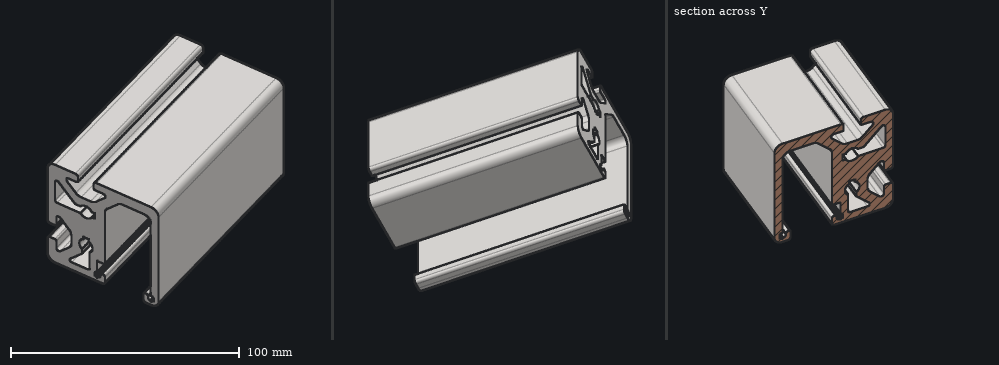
import cadquery as cq
import math


width = 58.0
height = 58.0
length = 100.0
outer_radius = 4.0
past_surface = 2.0

slot_offset_top = 20.0
slot_offset_left = 18.0
slot_mouth = 8.1
slot_lip = 4.6
slot_depth = 12.4
slot_floor = 8.2
mouth_outer_radius = 1.5
mouth_inner_radius = 0.8
slot_tip_radius = 1.2
slot_floor_radius = 4.0

core_x = slot_offset_top
upper_core_z = 38.0
lower_core_z = slot_offset_left
core_diameter = 6.9
neck_width = 4.0
key_width = 3.0
key_reach = 4.65
diagonal_web = 5.0
upper_pocket_wall = 4.0
lower_pocket_wall = 4.6
pocket_radius = 1.0

chamber_left = 30.0
chamber_right = 53.8
chamber_roof = 52.0
chamber_chamfer = 7.7
chamber_chamfer_radius = 3.0
chamber_roof_radius = 3.5
opening_right = 50.0
step_left = 25.9
step_height = 12.0

lip_foot_radius = 1.5
lip_bead_radius = 1.2
lip_bead_z = 4.4
channel_radius = 1.5
channel_z = 4.0
channel_offset = 13.9
notch_half_width = 0.5
notch_depth = 0.5
notch_tilts = (7.0, 50.0)


def prism(corners):
    """Full-length prism; each corner is (x, z) or (x, z, radius)."""
    points = [cq.Vector(corner[0], corner[1]) for corner in corners]
    radii = [corner[2] if len(corner) > 2 else 0 for corner in corners]
    outline = None
    for i, corner in enumerate(points):
        to_previous = (points[i - 1] - corner).normalized()
        to_next = (points[(i + 1) % len(points)] - corner).normalized()
        half_angle = to_previous.getAngle(to_next) / 2
        setback = radii[i] / math.tan(half_angle)
        arc_start = (corner + to_previous * setback).toTuple()[:2]
        if outline is None:
            outline = cq.Workplane("XZ").moveTo(*arc_start)
        else:
            outline = outline.lineTo(*arc_start)
        if radii[i]:
            bisector = (to_previous + to_next).normalized()
            arc_middle = corner + bisector * (radii[i] / math.sin(half_angle) - radii[i])
            arc_end = corner + to_next * setback
            outline = outline.threePointArc(arc_middle.toTuple()[:2], arc_end.toTuple()[:2])
    return outline.close().extrude(length)


def bar(x, z, radius):
    """Full-length round bar."""
    return cq.Workplane("XZ").center(x, z).circle(radius).extrude(length)


def slot(place):
    """T-slot cutter; place maps (offset from centre, depth) to section (x, z)."""
    half_mouth = slot_mouth / 2
    half_floor = slot_floor / 2
    half_tip = half_floor + slot_depth - slot_lip
    flare = half_mouth + 2 * mouth_outer_radius
    side = [
        (flare, -past_surface, 0),
        (flare, 0, 0),
        (half_mouth, 0, mouth_outer_radius),
        (half_mouth, slot_lip, mouth_inner_radius),
        (half_tip, slot_lip, slot_tip_radius),
        (half_floor, slot_depth, slot_floor_radius),
    ]
    other_side = [(-offset, depth, radius) for offset, depth, radius in reversed(side)]
    return prism([(*place(offset, depth), radius) for offset, depth, radius in side + other_side])


def keyhole_pocket(place, wall_distance, slot_distance):
    """Keyhole with its pocket.

    place maps (along the neck, towards the slot) from the core centre to section (x, z).
    wall_distance runs from the core to the pocket's end wall, slot_distance from the
    core to the corner where the sloping side would meet that wall.
    """
    half_neck = neck_width / 2
    half_key = key_width / 2
    slope_start = wall_distance - (slot_distance - half_neck)
    corners = [
        (-key_reach, -half_key),
        (-key_reach, half_key),
        (0, half_key),
        (0, half_neck),
        (slope_start, half_neck),
        (wall_distance, slot_distance, pocket_radius),
        (wall_distance, -half_neck, pocket_radius),
        (0, -half_neck),
        (0, -half_key),
    ]
    cutter = prism([(*place(corner[0], corner[1]), *corner[2:]) for corner in corners])
    return cutter.union(bar(*place(0, 0), core_diameter / 2))


def chamber():
    """Chamber cutter, down to the level of the lip beads and out through the bottom."""
    flare = 2 * lip_foot_radius
    return prism([
        (chamber_left - flare, -past_surface),
        (chamber_left - flare, 0),
        (chamber_left, 0, lip_foot_radius),
        (chamber_left, lip_bead_z),
        (step_left, lip_bead_z),
        (step_left, step_height),
        (chamber_left, step_height),
        (chamber_left, chamber_roof - chamber_chamfer, chamber_chamfer_radius),
        (chamber_left + chamber_chamfer, chamber_roof, chamber_chamfer_radius),
        (chamber_right, chamber_roof, chamber_roof_radius),
        (chamber_right, lip_bead_z),
        (opening_right, lip_bead_z),
        (opening_right, 0, lip_foot_radius),
        (opening_right + flare, 0),
        (opening_right + flare, -past_surface),
    ])


def seal_channel(x, outward):
    """Round channel with V notches; outward is -1 or 1, away from the opening."""
    root_z = channel_z - math.sqrt(channel_radius**2 - notch_half_width**2)
    tip_z = channel_z - channel_radius - notch_depth
    channel = bar(x, channel_z, channel_radius)
    for tilt in notch_tilts:
        notch = prism([
            (x - notch_half_width, channel_z),
            (x - notch_half_width, root_z),
            (x, tip_z),
            (x + notch_half_width, root_z),
            (x + notch_half_width, channel_z),
        ])
        channel = channel.union(notch.rotate((x, 0, channel_z), (x, 1, channel_z), -outward * tilt))
    return channel


profile = prism([
    (0, 0, outer_radius),
    (width, 0, outer_radius),
    (width, height, outer_radius),
    (0, height, outer_radius),
])

profile = profile.cut(slot(lambda offset, depth: (slot_offset_top + offset, height - depth)))
profile = profile.cut(slot(lambda offset, depth: (depth, slot_offset_left + offset)))

web_shift = diagonal_web * math.sqrt(2)
slope_reach = slot_depth + slot_floor / 2 + web_shift

upper_wall_distance = core_x - upper_pocket_wall
upper_slot_distance = height - upper_core_z - (slope_reach - upper_wall_distance)
profile = profile.cut(
    keyhole_pocket(
        lambda along, toward: (core_x - along, upper_core_z + toward),
        upper_wall_distance,
        upper_slot_distance,
    )
)

lower_wall_distance = lower_core_z - lower_pocket_wall
lower_slot_distance = core_x - (slope_reach - lower_wall_distance)
profile = profile.cut(
    keyhole_pocket(
        lambda along, toward: (core_x - toward, lower_core_z - along),
        lower_wall_distance,
        lower_slot_distance,
    )
)

profile = profile.cut(chamber())
for bead_x in (chamber_left - lip_bead_radius, opening_right + lip_bead_radius):
    profile = profile.union(bar(bead_x, lip_bead_z, lip_bead_radius))
opening_centre = (chamber_left + opening_right) / 2
for outward in (-1, 1):
    channel_x = opening_centre + outward * channel_offset
    profile = profile.cut(seal_channel(channel_x, outward))

result = profile.translate((-width / 2, length / 2, -height / 2))